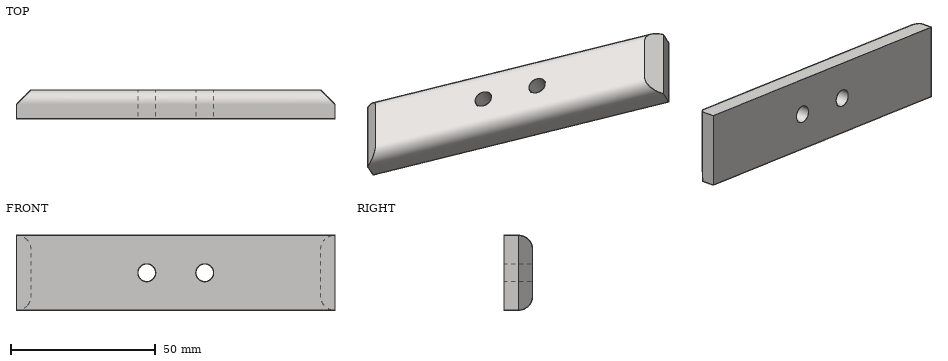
import cadquery as cq

length = 110.0
thickness = 10.0
height = 26.0

edge_relief = thickness / 2

hole_diameter = 6.0
hole_spacing = 20.0


def rounded_bar():
    """Full-length bar whose two long back edges are rounded."""
    bar = cq.Workplane("XY").box(length, thickness, height)
    return bar.faces(">Y").edges("|X").fillet(edge_relief)


def bevelled_envelope():
    """Full-height block whose two back end edges are bevelled at 45 degrees."""
    block = cq.Workplane("XY").box(length, thickness, height)
    return block.faces(">Y").edges("|Z").chamfer(edge_relief)


def mounting_holes():
    """Two round cutters along Y, spaced evenly about the centre."""
    return (
        cq.Workplane("XZ")
        .rarray(hole_spacing, 1.1, 2, 1)
        .circle(hole_diameter / 2)
        .extrude(thickness, both=True)
    )


result = rounded_bar().intersect(bevelled_envelope()).cut(mounting_holes())